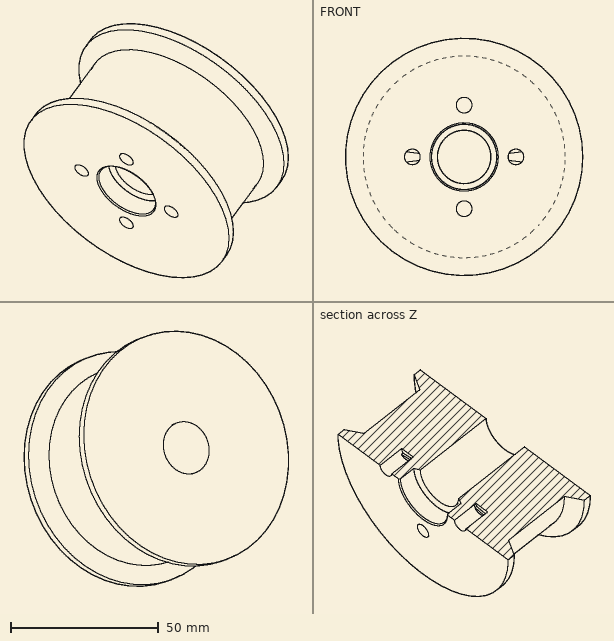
import cadquery as cq
import math

rim_diameter = 80.4
wheel_width = 40.0
barrel_diameter = 68.4
lip_width = 3.05
flank_angle = 30.0

bore_diameter = 18.0
seat_diameter = 22.2
seat_depth = 7.0
shoulder_length = 1.0
ledge_width = 0.1
mouth_chamfer = 0.5

hole_diameter = 5.3
hole_circle_radius = 17.5
hole_depth = 9.65
drill_tip_angle = 118.0

recess_depth = 0.8
recess_inner_width = 2.3
recess_outer_width = 3.6
recess_wall_gap = 0.1

rim_radius = rim_diameter / 2
barrel_radius = barrel_diameter / 2
bore_radius = bore_diameter / 2
seat_radius = seat_diameter / 2
hole_radius = hole_diameter / 2
half_width = wheel_width / 2
front_y = -half_width


def revolve_about_y(profile):
    """Turn a closed XY profile, drawn against the Y axis, into a solid of revolution."""
    return cq.Workplane("XY").polyline(profile).close().revolve(360, (0, 0, 0), (0, 1, 0))


def wheel_blank():
    """Barrel between two flanges with sloped flanks and cylindrical lips."""
    lip_y = half_width - lip_width
    flank_width = (rim_radius - barrel_radius) * math.tan(math.radians(flank_angle))
    barrel_y = lip_y - flank_width
    return revolve_about_y([
        (0, -half_width),
        (rim_radius, -half_width),
        (rim_radius, -lip_y),
        (barrel_radius, -barrel_y),
        (barrel_radius, barrel_y),
        (rim_radius, lip_y),
        (rim_radius, half_width),
        (0, half_width),
    ])


def stepped_bore():
    """Through bore with a chamfered seat, a narrow ledge and a conical shoulder at the -Y end."""
    seat_end_y = front_y + seat_depth
    return revolve_about_y([
        (0, front_y),
        (seat_radius + mouth_chamfer, front_y),
        (seat_radius, front_y + mouth_chamfer),
        (seat_radius, seat_end_y),
        (seat_radius - ledge_width, seat_end_y),
        (bore_radius, seat_end_y + shoulder_length),
        (bore_radius, half_width),
        (0, half_width),
    ])


def drilled_hole():
    """Blind hole with a conical drill tip, on the wheel axis."""
    tip_length = hole_radius / math.tan(math.radians(drill_tip_angle / 2))
    floor_y = front_y + hole_depth
    return revolve_about_y([
        (0, front_y),
        (hole_radius, front_y),
        (hole_radius, floor_y),
        (0, floor_y + tip_length),
    ])


def recessed_hole():
    """Flat-bottomed hole with a wedge recess in its floor, on the wheel axis, narrow end towards -X."""
    floor_y = front_y + hole_depth
    bottom_y = floor_y + recess_depth
    hole = revolve_about_y([
        (0, front_y),
        (hole_radius, front_y),
        (hole_radius, floor_y),
        (0, floor_y),
    ])
    deep_hole = revolve_about_y([
        (0, floor_y),
        (hole_radius, floor_y),
        (hole_radius, bottom_y),
        (0, bottom_y),
    ])
    inner_x = recess_wall_gap - hole_radius
    wedge = (
        cq.Workplane("XZ", origin=(0, floor_y, 0))
        .polyline([
            (inner_x, -recess_inner_width / 2),
            (hole_radius, -recess_outer_width / 2),
            (hole_radius, recess_outer_width / 2),
            (inner_x, recess_inner_width / 2),
        ])
        .close()
        .extrude(-recess_depth)
    )
    return hole.union(wedge.intersect(deep_hole))


def place_on_hole_circle(hole, angle):
    """Move a hole out along +X, then swing it about the wheel axis."""
    return hole.translate((hole_circle_radius, 0, 0)).rotate((0, 0, 0), (0, 1, 0), angle)


result = wheel_blank().cut(stepped_bore())
for angle in (0, 180):
    result = result.cut(place_on_hole_circle(recessed_hole(), angle))
for angle in (90, 270):
    result = result.cut(place_on_hole_circle(drilled_hole(), angle))